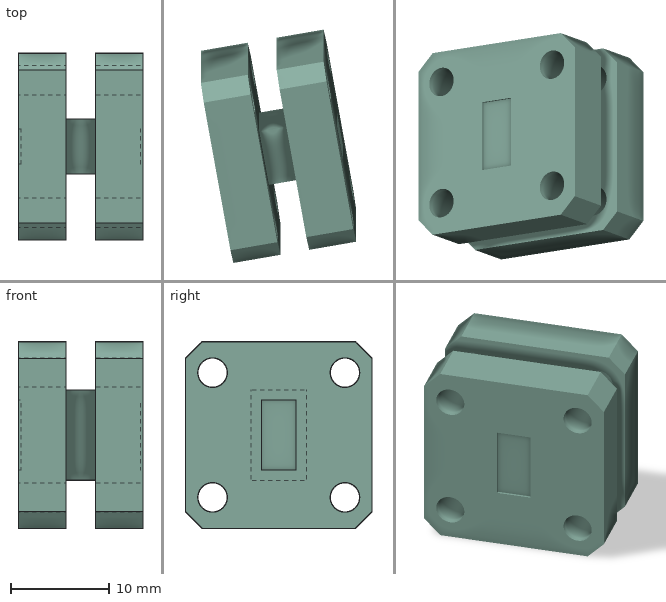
import cadquery as cq

length = 12.7
flange_side = 19.05
flange_thickness = 4.85
corner_chamfer = 1.71

neck_width = 5.64
neck_height = 9.22

hole_diameter = 2.97
hole_spacing_y = 13.49
hole_spacing_z = 12.7

recess_width = 3.55
recess_height = 7.1
recess_depth = 0.25

half_length = length / 2


def block_along_x(start_x, size_x, size_y, size_z):
    """Block centred on the X axis, starting at start_x."""
    return cq.Workplane("XY").box(size_x, size_y, size_z).translate((start_x + size_x / 2, 0, 0))


def flange(start_x):
    """Square plate with chamfered corners and four bolt holes."""
    plate = block_along_x(start_x, flange_thickness, flange_side, flange_side)
    plate = plate.edges("|X").chamfer(corner_chamfer)
    holes = (
        cq.Workplane("YZ", origin=(start_x, 0, 0))
        .rarray(hole_spacing_y, hole_spacing_z, 2, 2)
        .circle(hole_diameter / 2)
        .extrude(flange_thickness)
    )
    return plate.cut(holes)


neck = block_along_x(-half_length, length, neck_width, neck_height)
result = neck
for flange_start in (-half_length, half_length - flange_thickness):
    result = result.union(flange(flange_start))

for recess_start in (-half_length, half_length - recess_depth):
    result = result.cut(block_along_x(recess_start, recess_depth, recess_width, recess_height))